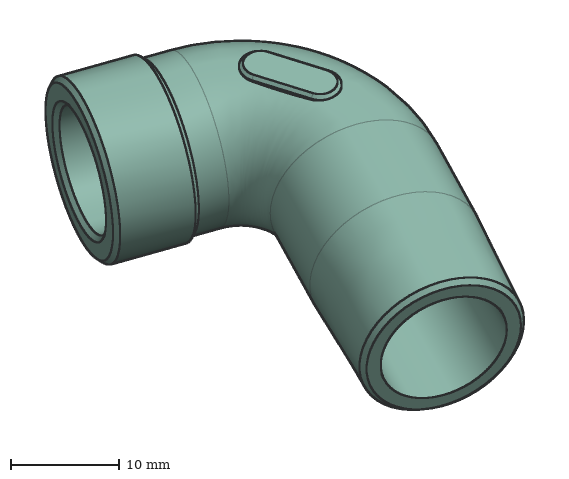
import cadquery as cq
import math

PIPE_RADIUS = 8.55
BORE_RADIUS = 6.25
BEND_RADIUS = 11.5
CHAMFER = 0.5

PLAIN_LENGTH = 10.0
SPIGOT_END_X = 33.51
SPIGOT_TIP_RADIUS = 8.15

NECK_LENGTH = 2.98
COLLAR_LENGTH = 8.5
COLLAR_RADIUS = 9.04

PAD_LENGTH = 10.0
PAD_WIDTH = 4.0
PAD_TOP_Z = 8.95
PAD_BASE_Z = 8.55
PAD_ROOT_Z = 7.25
PAD_DRAFT = 45.0

spigot_start_x = BEND_RADIUS + PLAIN_LENGTH
collar_start = BEND_RADIUS + NECK_LENGTH
collar_end = collar_start + COLLAR_LENGTH


def bend(radius):
    """Quarter torus joining the two legs."""
    return (
        cq.Workplane("XZ", origin=(0, -BEND_RADIUS, 0))
        .circle(radius)
        .revolve(90, (BEND_RADIUS, 0, 0), (BEND_RADIUS, -1, 0))
    )


def spigot_leg():
    """Plain pipe, taper and chamfered tip, turned about the X axis."""
    tip_start_x = SPIGOT_END_X - CHAMFER
    profile = [
        (BEND_RADIUS, 0),
        (BEND_RADIUS, PIPE_RADIUS),
        (spigot_start_x, PIPE_RADIUS),
        (tip_start_x, SPIGOT_TIP_RADIUS),
        (SPIGOT_END_X, SPIGOT_TIP_RADIUS - CHAMFER),
        (SPIGOT_END_X, 0),
    ]
    return cq.Workplane("XY").polyline(profile).close().revolve(360, (0, 0, 0), (1, 0, 0))


def collar_leg():
    """Neck and chamfered collar, turned about the Y axis."""
    profile = [
        (0, -BEND_RADIUS),
        (PIPE_RADIUS, -BEND_RADIUS),
        (PIPE_RADIUS, -collar_start),
        (COLLAR_RADIUS, -collar_start - CHAMFER),
        (COLLAR_RADIUS, -collar_end + CHAMFER),
        (COLLAR_RADIUS - CHAMFER, -collar_end),
        (0, -collar_end),
    ]
    return cq.Workplane("XY").polyline(profile).close().revolve(360, (0, 0, 0), (0, 1, 0))


def label_pad():
    """Drafted pad centred on the bend's midpoint, lying along the bend."""
    offset = BEND_RADIUS * (1 - math.sqrt(0.5))
    plane = cq.Workplane("XY", origin=(offset, -offset, PAD_BASE_Z)).transformed(rotate=(0, 0, 45))
    raised = plane.slot2D(PAD_LENGTH, PAD_WIDTH).extrude(PAD_TOP_Z - PAD_BASE_Z, taper=PAD_DRAFT)
    root = plane.slot2D(PAD_LENGTH, PAD_WIDTH).extrude(PAD_ROOT_Z - PAD_BASE_Z)
    return raised.union(root)


def bore():
    """Constant bore through both legs, with a chamfered mouth in the collar."""
    spigot_bore = (
        cq.Workplane("YZ", origin=(BEND_RADIUS, 0, 0))
        .circle(BORE_RADIUS)
        .extrude(SPIGOT_END_X - BEND_RADIUS)
    )
    mouth_profile = [
        (0, -BEND_RADIUS),
        (BORE_RADIUS, -BEND_RADIUS),
        (BORE_RADIUS, -collar_end + CHAMFER),
        (BORE_RADIUS + CHAMFER, -collar_end),
        (0, -collar_end),
    ]
    collar_bore = cq.Workplane("XY").polyline(mouth_profile).close().revolve(360, (0, 0, 0), (0, 1, 0))
    return bend(BORE_RADIUS).union(spigot_bore).union(collar_bore)


outer = bend(PIPE_RADIUS).union(spigot_leg()).union(collar_leg()).union(label_pad())
result = outer.cut(bore())